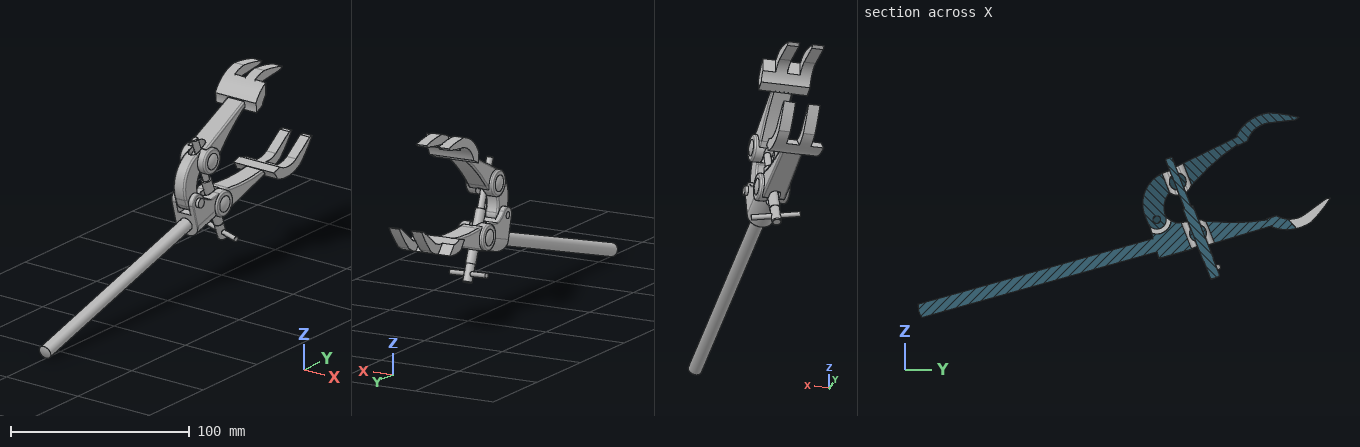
import cadquery as cq
import math


CLAMP_TILT = 21.4
ROD_TILT = 15.6

HEAD_WIDTH = 28.5
FINGER_GAP = 7.5
GAP_INNER_END = (65.8, -20.0)
GAP_OUTER_END = (71.8, -35.0)
GAP_REACH = 100.0

JAW_DEPTH = 40.0
ARM_BOTTOM_STEP = 0.3
ARM_END = 61.0
ARM_ROOT_WIDTH = 13.5
ARM_HEAD_WIDTH = 12.0
EDGE_RADIUS = 1.0

BOSS_Y = 18.7
BOSS_Z = -15.5
BOSS_DIAMETER = 15.5
BOSS_LENGTH = 17.7
BOSS_RIM_RADIUS = 1.0
SWIVEL_DIAMETER = 9.5
SWIVEL_DOME_HEIGHT = 1.3
SCREW_SLOT_WIDTH = 6.1
SCREW_SLOT_LENGTH = 13.0

FORK_WIDTH = 15.5
LINK_WIDTH = 8.0
LUG_HEIGHT = 4.8
FORK_EDGE_RADIUS = 0.5
HEEL_BACK = 4.8
HEEL_BLANK_DEPTH = 30.0
LINK_END_RADIUS = 5.4
LINK_BACK_RADIUS = 18.7
LINK_OUTER_Z = -23.1
FORK_FLOOR_RADIUS = 8.0
FORK_GAP = 8.7
PIVOT_DIAMETER = 4.0
PIVOT_HEAD_DIAMETER = 5.5
PIVOT_HEAD_HEIGHT = 2.0

ROD_DIAMETER = 8.0
ROD_LENGTH = 141.3
ROD_DOME_HEIGHT = 0.8

SCREW_DIAMETER = 6.0
SCREW_TIP_DIAMETER = 4.0
SCREW_BOTTOM = -42.3
SCREW_HEAD_TOP = -31.5
SCREW_SHOULDER = 0.0
SCREW_TOP = 29.7
SCREW_HEAD_DIAMETER = 5.5
SCREW_CHAMFER = 0.5
BAR_DIAMETER = 3.0
BAR_LENGTH = 27.5
BAR_Z = -37.2
BAR_TURN = -15.0

X_AXIS = ((0, 0, 0), (1, 0, 0))
Y_AXIS = ((0, 0, 0), (0, 1, 0))


def x_cylinder(diameter, length, y=0.0, z=0.0):
    """Cylinder along X, centred on X = 0."""
    return cq.Workplane("YZ").center(y, z).circle(diameter / 2).extrude(length / 2, both=True)


def domed_cylinder(radius, length, dome_height):
    """Cylinder along X, centred on the origin, with a shallow dome added to each end."""
    half = length / 2
    tip = half + dome_height
    dome_radius = (radius**2 + dome_height**2) / (2 * dome_height)
    dome_mid_x = tip - dome_radius + math.sqrt(dome_radius**2 - (radius / 2) ** 2)
    return (
        cq.Workplane("XY")
        .moveTo(-tip, 0)
        .threePointArc((-dome_mid_x, radius / 2), (-half, radius))
        .lineTo(half, radius)
        .threePointArc((dome_mid_x, radius / 2), (tip, 0))
        .close()
        .revolve(360, (0, 0, 0), (1, 0, 0))
    )


def head():
    """Full-width bar carrying two curved fingers, cut from one side outline."""
    full_width = (
        cq.Workplane("YZ")
        .moveTo(94.9, -24.3)
        .lineTo(92.5, -23.6)
        .lineTo(77.5, -27.6)
        .threePointArc((69.5, -26.9), (63.3, -22.4))
        .lineTo(57.3, -21.9)
        .threePointArc((58.3, -24.4), (58.8, -27.7))
        .threePointArc((69.0, -32.9), (80.0, -32.9))
        .threePointArc((87.5, -29.1), (94.9, -24.3))
        .close()
        .extrude(HEAD_WIDTH / 2, both=True)
    )
    for gap_start in (-HEAD_WIDTH / 2, 0):
        gap = (
            cq.Workplane("YZ", origin=(gap_start, 0, 0))
            .moveTo(*GAP_INNER_END)
            .lineTo(GAP_REACH, GAP_INNER_END[1])
            .lineTo(GAP_REACH, GAP_OUTER_END[1])
            .lineTo(*GAP_OUTER_END)
            .close()
            .extrude(FINGER_GAP)
        )
        full_width = full_width.cut(gap)
    return full_width


def arm():
    """Tapering arm between the boss and the head, with rounded edges."""
    side = (
        cq.Workplane("YZ")
        .moveTo(BOSS_Y, BOSS_Z - BOSS_DIAMETER / 2 - ARM_BOTTOM_STEP)
        .lineTo(ARM_END, -27.0)
        .lineTo(ARM_END, -23.3)
        .threePointArc((42.5, -18.3), (28.0, -12.0))
        .lineTo(BOSS_Y, BOSS_Z + BOSS_DIAMETER / 2)
        .close()
        .extrude(HEAD_WIDTH / 2, both=True)
    )
    plan = (
        cq.Workplane("XY", origin=(0, 0, -JAW_DEPTH))
        .moveTo(-ARM_ROOT_WIDTH / 2, BOSS_Y)
        .lineTo(ARM_ROOT_WIDTH / 2, BOSS_Y)
        .lineTo(ARM_HEAD_WIDTH / 2, ARM_END)
        .lineTo(-ARM_HEAD_WIDTH / 2, ARM_END)
        .close()
        .extrude(JAW_DEPTH)
    )
    return side.intersect(plan).faces("<X or >X").edges().fillet(EDGE_RADIUS)


def boss():
    cylinder = x_cylinder(BOSS_DIAMETER, BOSS_LENGTH, BOSS_Y, BOSS_Z)
    return cylinder.faces("|X").edges().fillet(BOSS_RIM_RADIUS)


def front_jaw():
    """Everything the two jaws share: boss, arm and head."""
    return boss().union(arm()).union(head())


def cut_screw_passages(jaw):
    """Cross bore for the swivel pin and slot that lets the screw swing."""
    slot = (
        cq.Workplane("XY", origin=(0, BOSS_Y, BOSS_Z))
        .slot2D(SCREW_SLOT_LENGTH, SCREW_SLOT_WIDTH, 90)
        .extrude(BOSS_DIAMETER, both=True)
    )
    return jaw.cut(slot).cut(x_cylinder(SWIVEL_DIAMETER, HEAD_WIDTH, BOSS_Y, BOSS_Z))


def make_upper_jaw():
    link = (
        cq.Workplane("YZ")
        .moveTo(-LINK_END_RADIUS, 0)
        .threePointArc((0, LINK_END_RADIUS), (LINK_END_RADIUS, 0))
        .tangentArcPoint((11.0, -10.7), relative=False)
        .lineTo(BOSS_Y, BOSS_Z)
        .lineTo(BOSS_Y, LINK_OUTER_Z)
        .lineTo(LINK_BACK_RADIUS - LINK_END_RADIUS, LINK_OUTER_Z)
        .tangentArcPoint((-LINK_END_RADIUS, LINK_BACK_RADIUS + LINK_OUTER_Z), relative=False)
        .close()
        .extrude(LINK_WIDTH / 2, both=True)
        .faces("|X")
        .edges()
        .fillet(EDGE_RADIUS)
    )
    jaw = cut_screw_passages(front_jaw().union(link))
    jaw = jaw.cut(x_cylinder(PIVOT_DIAMETER, HEAD_WIDTH))
    return jaw.rotate(*Y_AXIS, 180)


ROD_SLOPE = math.radians(CLAMP_TILT - ROD_TILT)
ROD_FORWARD = (0, math.cos(ROD_SLOPE), -math.sin(ROD_SLOPE))
ROD_PLANE = cq.Plane(origin=(0, 0, 0), xDir=(-1, 0, 0), normal=ROD_FORWARD)
ROD_OFFSET = BOSS_Y * math.sin(ROD_SLOPE) + BOSS_Z * math.cos(ROD_SLOPE)
BOSS_ALONG_ROD = BOSS_Y * math.cos(ROD_SLOPE) - BOSS_Z * math.sin(ROD_SLOPE)


def rod_section(along):
    """Workplane square to the rod, centred on its axis, at a distance ahead of the pivot."""
    return cq.Workplane(ROD_PLANE).workplane(offset=along).center(0, ROD_OFFSET)


def heel():
    """Lug fork and rod socket behind the lower boss."""
    back = -HEEL_BACK
    lug_inner_end = (4.7, 1.4)
    side = (
        cq.Workplane("YZ")
        .moveTo(*lug_inner_end)
        .threePointArc((0, LUG_HEIGHT), (back, 0.5))
        .lineTo(back - HEEL_BLANK_DEPTH * math.tan(ROD_SLOPE), -HEEL_BLANK_DEPTH)
        .lineTo(BOSS_Y, -HEEL_BLANK_DEPTH)
        .lineTo(BOSS_Y, -7.9)
        .lineTo(10.3, -6.0)
        .threePointArc((6.9, -2.9), lug_inner_end)
        .close()
        .extrude(FORK_WIDTH / 2, both=True)
        .faces("|X")
        .edges()
        .fillet(FORK_EDGE_RADIUS)
    )
    radius = FORK_WIDTH / 2
    section_start = -3 * HEEL_BACK
    section = (
        rod_section(section_start)
        .moveTo(-radius, 0)
        .threePointArc((0, -radius), (radius, 0))
        .lineTo(radius, HEEL_BLANK_DEPTH)
        .lineTo(-radius, HEEL_BLANK_DEPTH)
        .close()
        .extrude(BOSS_ALONG_ROD - section_start)
    )
    return side.intersect(section)


def rod():
    """Round rod with slightly domed ends, its front end buried in the socket."""
    shaft = domed_cylinder(ROD_DIAMETER / 2, ROD_LENGTH, ROD_DOME_HEIGHT)
    shaft = shaft.rotate((0, 0, 0), (0, 0, 1), 90).translate((0, -ROD_LENGTH / 2, ROD_OFFSET))
    return shaft.rotate(*X_AXIS, ROD_TILT - CLAMP_TILT)


def make_lower_jaw():
    fork_gap = x_cylinder(2 * FORK_FLOOR_RADIUS, FORK_GAP)
    jaw = front_jaw().union(heel()).union(rod()).cut(fork_gap)
    jaw = cut_screw_passages(jaw)
    return jaw.cut(x_cylinder(PIVOT_DIAMETER, FORK_WIDTH))


def make_pivot_pin():
    shank = x_cylinder(PIVOT_DIAMETER, FORK_WIDTH)
    head = (
        cq.Workplane("YZ", origin=(FORK_WIDTH / 2, 0, 0))
        .circle(PIVOT_HEAD_DIAMETER / 2)
        .extrude(PIVOT_HEAD_HEIGHT)
    )
    return shank.union(head)


def make_swivel_pin(z, screw_diameter):
    """Domed pin across a boss, with a hole for the screw."""
    pin = domed_cylinder(SWIVEL_DIAMETER / 2, BOSS_LENGTH, SWIVEL_DOME_HEIGHT)
    hole = cq.Workplane("XY").circle(screw_diameter / 2).extrude(SWIVEL_DIAMETER, both=True)
    return pin.cut(hole).translate((0, BOSS_Y, z))


def make_screw():
    """Stepped clamping screw with a cross bar through its head."""
    head = cq.Workplane("XY", origin=(0, 0, SCREW_BOTTOM)).circle(SCREW_HEAD_DIAMETER / 2)
    head = head.extrude(SCREW_HEAD_TOP - SCREW_BOTTOM).faces("<Z").chamfer(SCREW_CHAMFER)
    body = cq.Workplane("XY", origin=(0, 0, SCREW_HEAD_TOP)).circle(SCREW_DIAMETER / 2)
    body = body.extrude(SCREW_SHOULDER - SCREW_HEAD_TOP)
    tip = cq.Workplane("XY", origin=(0, 0, SCREW_SHOULDER)).circle(SCREW_TIP_DIAMETER / 2)
    tip = tip.extrude(SCREW_TOP - SCREW_SHOULDER).faces(">Z").chamfer(SCREW_CHAMFER)
    bar = x_cylinder(BAR_DIAMETER, BAR_LENGTH, 0, BAR_Z).rotate((0, 0, 0), (0, 0, 1), BAR_TURN)
    return head.union(body).union(tip).union(bar).translate((0, BOSS_Y, 0))


bodies = [
    make_lower_jaw(),
    make_upper_jaw(),
    make_pivot_pin(),
    make_screw(),
    make_swivel_pin(BOSS_Z, SCREW_DIAMETER),
    make_swivel_pin(-BOSS_Z, SCREW_TIP_DIAMETER),
]
result = cq.Compound.makeCompound(
    [body.rotate(*X_AXIS, CLAMP_TILT).solids().val() for body in bodies]
)